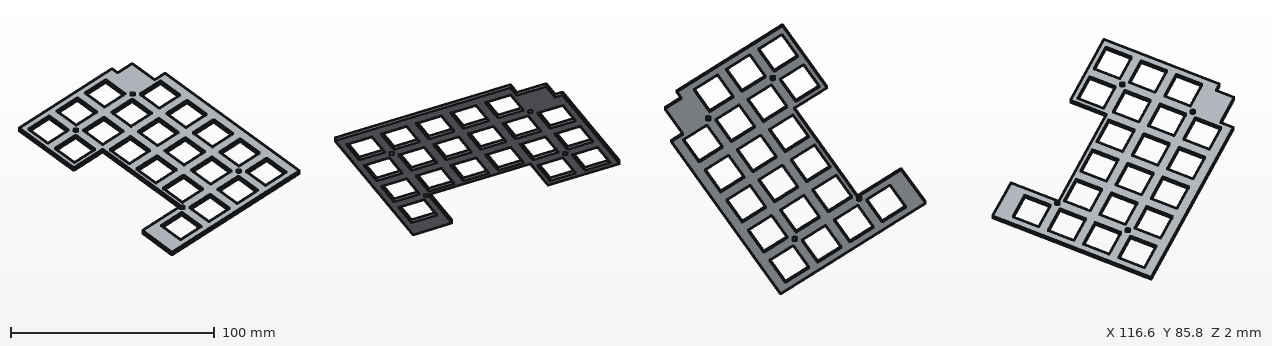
import cadquery as cq

length = 116.6
width = 85.8
thickness = 2.0

column_count = 6
column_span = 95.2
pitch = column_span / (column_count - 1)
cutout_size = 14.0
first_row_depth = 12.4
columns_by_row = [
    [1, 2, 3, 4, 5],
    [0, 1, 2, 3, 4, 5],
    [0, 1, 2, 3, 4, 5],
    [0, 1, 5],
]

hole_diameter = 2.2
hole_columns = [0.5, 4.5]
hole_rows = [0.5, 2.5]

inner_step_depth = 7.0
outer_step_x = 4.1
outer_step_depth = 16.8
left_leg_depth = 79.3
notch_depth = 59.8
notch_right_x = 95.2
right_leg_rise = 0.2

left = -length / 2
right = length / 2
back = width / 2
front = -width / 2


def grid_point(column, row):
    """Return a position on the key grid; fractions fall between cutouts."""
    x = -column_span / 2 + column * pitch
    y = back - first_row_depth - row * pitch
    return x, y


def make_plate():
    """Extrude the stepped outline with its open front notch."""
    inner_step_x = grid_point(0.5, 0)[0]
    left_leg_right = grid_point(1.5, 0)[0]
    outline = [
        (inner_step_x, back),
        (right, back),
        (right, front),
        (left + notch_right_x, front + right_leg_rise),
        (left + notch_right_x, back - notch_depth),
        (left_leg_right, back - notch_depth),
        (left_leg_right, back - left_leg_depth),
        (left, back - left_leg_depth),
        (left, back - outer_step_depth),
        (left + outer_step_x, back - outer_step_depth),
        (left + outer_step_x, back - inner_step_depth),
        (inner_step_x, back - inner_step_depth),
    ]
    return cq.Workplane("XY").polyline(outline).close().extrude(thickness)


cutout_points = [
    grid_point(column, row)
    for row, columns in enumerate(columns_by_row)
    for column in columns
]
hole_points = [grid_point(column, row) for column in hole_columns for row in hole_rows]

cutouts = (
    cq.Workplane("XY")
    .pushPoints(cutout_points)
    .rect(cutout_size, cutout_size)
    .extrude(thickness)
)
screw_holes = (
    cq.Workplane("XY")
    .pushPoints(hole_points)
    .circle(hole_diameter / 2)
    .extrude(thickness)
)

result = make_plate().cut(cutouts).cut(screw_holes)